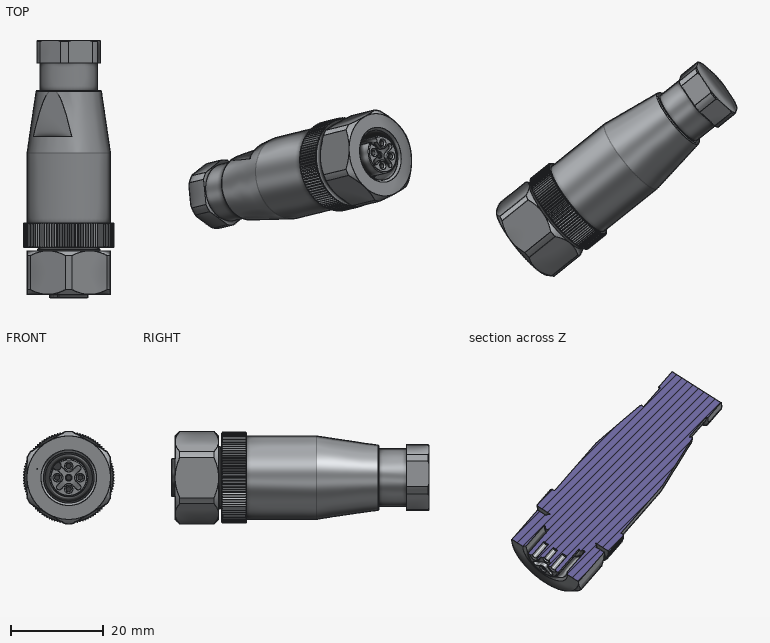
import cadquery as cq
import math

nut_front = 0.8
nut_back = 10.15
knurl_front = 10.8
knurl_back = 16.2
taper_start = 31.25
taper_end = 44.45
shell_end = 44.75
gland_front = 50.6
total_length = 55.5

nut_flats = 18.0
nut_corner_d = 20.0
nut_chamfer = (nut_corner_d - nut_flats) / 2
bore_d = 10.95
bore_mouth_d = 12.0
bore_mouth_chamfer = (bore_mouth_d - bore_d) / 2
bore_floor = 7.75
collar_d = 13.5
collar_root_d = 12.2
collar_shoulder = 10.5

shell_d = 18.0
shell_end_d = 14.1
shell_end_bevel = 0.15
neck_d = 12.5
knurl_d = 19.6
knurl_root_d = 19.0
knurl_teeth = 100
knurl_chamfer = 0.2

flat_distance = 7.0
flat_start = 34.75
flat_tilt = 30.0

gland_flats = 13.1
gland_corner_d = 14.2
gland_chamfer = 0.2
gland_turn = 7.3

insert_d = 8.2
insert_bevel_width = 0.3
insert_bevel_depth = 0.1
ring_inner_d = 8.2
ring_outer_d = 10.2
pin_circle_r = 2.5
pin_hole_d = 1.1
pin_mouth_d = 1.8
pin_mouth_depth = 0.35
centre_counterbore_d = 1.45
centre_counterbore_depth = 0.45
pin_hole_depth = 4.45
recess_depth = 1.0
recess_arm = 2.9
recess_width = 1.15
recess_inner_fillet = 1.0
keyway_d = 1.8
keyway_r = 3.55
keyway_edge_fillet = 0.15


def plane_at(y):
    """Workplane across the axis at y: local x is X, local y is Z, and it faces -Y."""
    return cq.Workplane("XZ", origin=(0, y, 0))


def along(sketch, length):
    """Extrude an outline towards +Y."""
    return sketch.extrude(-length)


def revolved(points):
    """Solid of revolution about the Y axis from (radius, y) points."""
    return cq.Workplane("XY").polyline(points).close().revolve(360, (0, 0, 0), (0, 1, 0))


def cylinder(d, start, end):
    return along(plane_at(start).circle(d / 2), end - start)


def hexagon(flats, start, end, turn):
    """Hexagonal bar with a corner pointing up, turned about the axis by the given angle."""
    corners_d = flats / math.cos(math.pi / 6)
    outline = plane_at(start).transformed(rotate=(0, 0, 90 + turn)).polygon(6, corners_d)
    return along(outline, end - start)


def coupling_nut():
    rounded = cylinder(nut_corner_d, nut_front, nut_back).faces("<Y or >Y").chamfer(nut_chamfer)
    nut = hexagon(nut_flats, nut_front, nut_back, 0).intersect(rounded)
    bore = revolved([
        (0, nut_front),
        (bore_mouth_d / 2, nut_front),
        (bore_d / 2, nut_front + bore_mouth_chamfer),
        (bore_d / 2, bore_floor),
        (0, bore_floor),
    ])
    return nut.cut(bore)


def knurled_ring():
    points = []
    for i in range(knurl_teeth):
        for step, d in ((0, knurl_d), (0.5, knurl_root_d)):
            angle = 2 * math.pi * (i + step) / knurl_teeth
            points.append((d / 2 * math.cos(angle), d / 2 * math.sin(angle)))
    teeth = along(plane_at(knurl_front).polyline(points).close(), knurl_back - knurl_front)
    blank = cylinder(knurl_d, knurl_front, knurl_back).faces("<Y or >Y").chamfer(knurl_chamfer)
    return teeth.intersect(blank)


def shell():
    body = revolved([
        (0, nut_back),
        (collar_d / 2, nut_back),
        (collar_d / 2, collar_shoulder),
        (collar_root_d / 2, knurl_front),
        (shell_d / 2, knurl_front),
        (shell_d / 2, taper_start),
        (shell_end_d / 2, taper_end),
        (shell_end_d / 2 - shell_end_bevel, shell_end),
        (neck_d / 2, shell_end),
        (neck_d / 2, gland_front),
        (0, gland_front),
    ])
    flat_length = shell_end - flat_start
    beyond_flat = (
        plane_at(flat_start)
        .transformed(rotate=(0, 0, flat_tilt))
        .center(0, flat_distance + shell_d / 2)
        .rect(2 * shell_d, shell_d)
    )
    return body.cut(along(beyond_flat, flat_length))


def cable_gland():
    rounded = cylinder(gland_corner_d, gland_front, total_length).faces(">Y").chamfer(gland_chamfer)
    return hexagon(gland_flats, gland_front, total_length, gland_turn).intersect(rounded)


def seal_ring():
    """Round seal lying on the bore floor around the insert."""
    section_d = (ring_outer_d - ring_inner_d) / 2
    centre_r = (ring_outer_d + ring_inner_d) / 4
    section = cq.Workplane("XY").center(centre_r, bore_floor).circle(section_d / 2)
    return section.revolve(360, (-centre_r, 0, 0), (-centre_r, 1, 0))


def outer_contact_hole(x, z):
    hole = revolved([
        (0, 0),
        (pin_mouth_d / 2, 0),
        (pin_hole_d / 2, pin_mouth_depth),
        (pin_hole_d / 2, pin_hole_depth),
        (0, pin_hole_depth),
    ])
    return hole.translate((x, 0, z))


def centre_contact_hole():
    """Counterbored hole that starts at the floor of the cross recess."""
    counterbore = cylinder(centre_counterbore_d, 0, recess_depth + centre_counterbore_depth)
    return counterbore.union(cylinder(pin_hole_d, 0, pin_hole_depth))


def cross_recess():
    """X-shaped recess with round arm ends and rounded inner corners."""
    arm_length = 2 * recess_arm + recess_width
    rising_arm, falling_arm = [
        along(plane_at(0).transformed(rotate=(0, 0, angle)).slot2D(arm_length, recess_width), recess_depth)
        for angle in (45, 135)
    ]
    recess = rising_arm.union(falling_arm)
    inner_corners = cq.selectors.BoxSelector(
        (-recess_width, 0, -recess_width), (recess_width, recess_depth, recess_width)
    )
    return recess.edges("|Y").edges(inner_corners).fillet(recess_inner_fillet)


def keyway():
    offset = keyway_r / math.sqrt(2)
    return cylinder(keyway_d, 0, bore_floor).translate((-offset, 0, offset))


def insert_blank():
    """Insert envelope with its bevelled front rim."""
    r = insert_d / 2
    return revolved([
        (0, 0),
        (r - insert_bevel_width, 0),
        (r, insert_bevel_depth),
        (r, bore_floor),
        (0, bore_floor),
    ])


def contact_insert():
    insert = cylinder(insert_d, 0, bore_floor).cut(keyway())
    keyway_corners = cq.selectors.BoxSelector((-insert_d, 0, 0), (0, bore_floor, insert_d))
    insert = insert.edges("|Y").edges(keyway_corners).fillet(keyway_edge_fillet)
    insert = insert.intersect(insert_blank())
    insert = insert.cut(cross_recess()).cut(centre_contact_hole())
    for x, z in ((1, 0), (-1, 0), (0, 1), (0, -1)):
        insert = insert.cut(outer_contact_hole(x * pin_circle_r, z * pin_circle_r))
    return insert


result = (
    coupling_nut()
    .union(shell())
    .union(knurled_ring())
    .union(cable_gland())
    .union(seal_ring())
    .union(contact_insert())
)